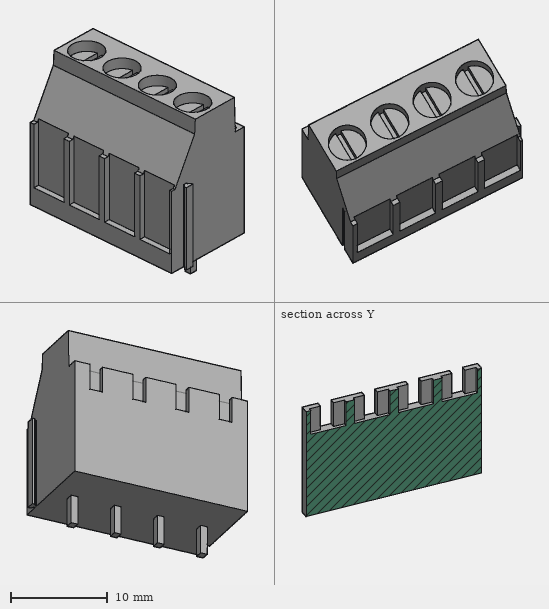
import cadquery as cq


total_length = 20.65
total_height = 20.3
depth = 11.0
pole_count = 4
pole_pitch = 5.0
first_pole_x = 2.55

dovetail_reach = 0.65
dovetail_neck_reach = 0.15
dovetail_flare_reach = 0.41
dovetail_neck_width = 0.43
dovetail_head_width = 1.01
dovetail_y = 2.05

pin_length = 3.2
housing_length = total_length - dovetail_reach
housing_height = total_height - pin_length
ledge_height = 9.97
ledge_depth = 0.52
slope_top_height = 15.35
slope_top_y = 3.5
top_front_y = 3.6
top_back_y = 9.52
shelf_height = 12.86
shelf_front_y = 9.66

recess_width = 4.21
recess_depth = 0.7
recess_floor_height = 2.27
recess_x_offset = 0.1

well_diameter = 3.95
well_depth = 1.28
well_y = 5.85
screw_slot_width = 0.62
screw_slot_depth = 0.83

marker_head_width = 3.99
marker_neck_width = 1.49
marker_neck_depth = 0.65
marker_floor_height = ledge_height

pin_width = 0.76
pin_thickness = 0.95
pin_y = 5.55

pole_positions = [first_pole_x + i * pole_pitch for i in range(pole_count)]


def block(x_center, width, y_start, y_end, z_start, z_end):
    """Box centred on x_center, spanning the given Y and Z ranges."""
    size_y = y_end - y_start
    size_z = z_end - z_start
    box = cq.Workplane("XY").box(width, size_y, size_z, centered=(True, False, False))
    return box.translate((x_center, y_start, z_start))


def housing():
    """Sloped-front body extruded along the row of poles."""
    profile = [
        (0, 0),
        (depth, 0),
        (depth, shelf_height),
        (shelf_front_y, shelf_height),
        (top_back_y, housing_height),
        (top_front_y, housing_height),
        (slope_top_y, slope_top_height),
        (ledge_depth, ledge_height),
        (0, ledge_height),
    ]
    return cq.Workplane("YZ").polyline(profile).close().extrude(housing_length)


def dovetail(x_start):
    """Upright dovetail bar that widens towards +X, from the base to the ledge."""
    neck = dovetail_neck_width / 2
    head = dovetail_head_width / 2
    outline = [
        (0, -neck),
        (dovetail_neck_reach, -neck),
        (dovetail_flare_reach, -head),
        (dovetail_reach, -head),
        (dovetail_reach, head),
        (dovetail_flare_reach, head),
        (dovetail_neck_reach, neck),
        (0, neck),
    ]
    bar = cq.Workplane("XY").polyline(outline).close().extrude(ledge_height)
    return bar.translate((x_start, dovetail_y, 0))


def front_recess(x):
    """Recess that runs up from its floor and out through the sloped face."""
    return block(x + recess_x_offset, recess_width, 0, recess_depth, recess_floor_height, housing_height)


def screw_well(x):
    """Round well with a driver slot across the screw head at its bottom."""
    radius = well_diameter / 2
    head_height = housing_height - well_depth
    slot_floor = head_height - screw_slot_depth
    well = cq.Workplane("XY").circle(radius).extrude(well_depth).translate((x, well_y, head_height))
    disc = cq.Workplane("XY").circle(radius).extrude(screw_slot_depth).translate((x, well_y, slot_floor))
    slot = block(x, screw_slot_width, well_y - radius, well_y + radius, slot_floor, head_height)
    return well.union(slot.intersect(disc))


def marker_slot(x):
    """T-shaped slot: wide against the raised top, narrow through the back face."""
    neck_y = depth - marker_neck_depth
    head = block(x, marker_head_width, shelf_front_y, neck_y, marker_floor_height, shelf_height)
    neck = block(x, marker_neck_width, neck_y, depth, marker_floor_height, shelf_height)
    return head.union(neck)


def solder_pin(x):
    """Straight rectangular pin below the housing."""
    half = pin_thickness / 2
    return block(x, pin_width, pin_y - half, pin_y + half, -pin_length, 0)


result = housing().cut(dovetail(0)).union(dovetail(housing_length))
for pole_x in pole_positions:
    result = result.cut(front_recess(pole_x))
    result = result.cut(screw_well(pole_x))
    result = result.cut(marker_slot(pole_x))
    result = result.union(solder_pin(pole_x))